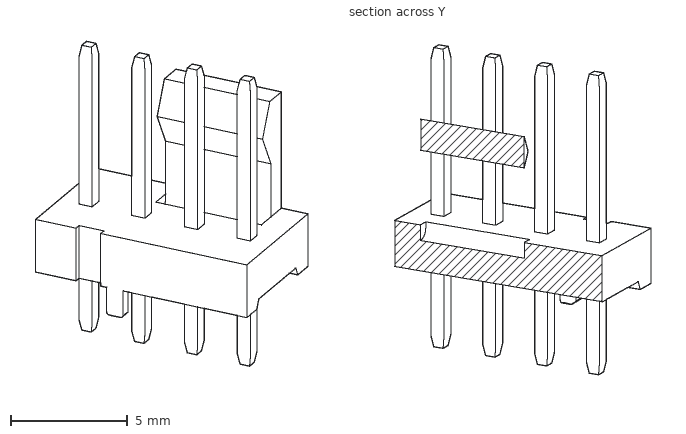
import cadquery as cq

base_width = 10.17
base_depth = 5.8
base_bottom = 3.5
base_height = 2.5
base_top = base_bottom + base_height

foot_depth = 0.97
trough_height = 0.4
trough_slope = 0.18

notch_left = -3.13
notch_width = 1.19
notch_depth = 0.3

pin_count = 4
pin_pitch = 2.54
pin_size = 0.63
pin_length = 13.5
pin_y = 2.55
tip_size = 0.46
tip_length = 0.5

latch_width = 2 * pin_pitch
latch_thickness = 1.0
latch_height = 5.51
latch_top = base_top + latch_height
hook_top_depth = 1.11
hook_reach = 1.8
hook_rise = 1.5

slot_length = 0.9
slot_depth = 0.7

peg_width = 0.8
peg_flat_depth = 0.47
peg_depth = 0.7
peg_length = 1.4
peg_side_length = 1.19
peg_front_length = 1.27


def pin_x(index):
    return (index - (pin_count - 1) / 2) * pin_pitch


latch_x = pin_x(2)
peg_x = pin_x(1)


def extrude_along_x(profile, width, center_x):
    """Extrude a YZ profile by a width centred on the given X."""
    return profile.extrude(width / 2, both=True).translate((center_x, 0, 0))


def make_base():
    block = cq.Workplane("XY").box(base_width, base_depth, base_height, centered=(True, False, False))
    block = block.translate((0, 0, base_bottom))
    trough_top = base_bottom + trough_height
    trough_profile = (
        cq.Workplane("YZ")
        .moveTo(foot_depth, base_bottom)
        .lineTo(foot_depth + trough_slope, trough_top)
        .lineTo(base_depth - foot_depth - trough_slope, trough_top)
        .lineTo(base_depth - foot_depth, base_bottom)
        .close()
    )
    notch = cq.Workplane("XY").box(notch_width, notch_depth, base_height, centered=False)
    notch = notch.translate((notch_left, 0, base_bottom))
    return block.cut(extrude_along_x(trough_profile, base_width, 0)).cut(notch)


def make_slot():
    wall_y = base_depth - latch_thickness
    lip_y = wall_y - slot_length
    floor_z = base_top - slot_depth
    round_start_z = floor_z + slot_length / 2
    slot_profile = (
        cq.Workplane("YZ")
        .moveTo(lip_y, base_top)
        .lineTo(lip_y, round_start_z)
        .threePointArc(((lip_y + wall_y) / 2, floor_z), (wall_y, round_start_z))
        .lineTo(wall_y, base_top)
        .close()
    )
    return extrude_along_x(slot_profile, latch_width, latch_x)


def make_latch():
    wall_y = base_depth - latch_thickness
    latch_profile = (
        cq.Workplane("YZ")
        .moveTo(base_depth, base_top)
        .lineTo(base_depth, latch_top)
        .lineTo(base_depth - hook_top_depth, latch_top)
        .lineTo(base_depth - hook_reach, latch_top - hook_rise)
        .lineTo(wall_y, latch_top - 2 * hook_rise)
        .lineTo(wall_y, base_top)
        .close()
    )
    return extrude_along_x(latch_profile, latch_width, latch_x)


def make_pin(center_x):
    shaft = cq.Workplane("XY").box(pin_size, pin_size, pin_length - 2 * tip_length)
    half_shaft = pin_length / 2 - tip_length
    top_tip = (
        cq.Workplane("XY", origin=(0, 0, half_shaft))
        .rect(pin_size, pin_size)
        .workplane(offset=tip_length)
        .rect(tip_size, tip_size)
        .loft(ruled=True)
    )
    bottom_tip = top_tip.mirror("XY")
    return shaft.union(top_tip).union(bottom_tip).translate((center_x, pin_y, pin_length / 2))


def make_peg():
    """Peg with a bowed back and an end bowed both across its width and across its depth."""
    half_width = peg_width / 2
    end_z = -peg_length
    plan = (
        cq.Workplane("XY")
        .moveTo(-half_width, 0)
        .lineTo(half_width, 0)
        .lineTo(half_width, peg_flat_depth)
        .threePointArc((0, peg_depth), (-half_width, peg_flat_depth))
        .close()
        .extrude(end_z)
    )
    front_shape = (
        cq.Workplane("XZ")
        .moveTo(-half_width, 0)
        .lineTo(-half_width, -peg_side_length)
        .threePointArc((0, end_z), (half_width, -peg_side_length))
        .lineTo(half_width, 0)
        .close()
        .extrude(-peg_depth)
    )
    side_profile = (
        cq.Workplane("YZ")
        .lineTo(0, -peg_front_length)
        .threePointArc((peg_depth / 2, end_z), (peg_depth, -peg_front_length))
        .lineTo(peg_depth, 0)
        .close()
    )
    side_shape = extrude_along_x(side_profile, peg_width, 0)
    return plan.intersect(front_shape).intersect(side_shape).translate((peg_x, 0, base_bottom))


result = make_base().cut(make_slot()).union(make_latch()).union(make_peg())
for index in range(pin_count):
    result = result.union(make_pin(pin_x(index)))